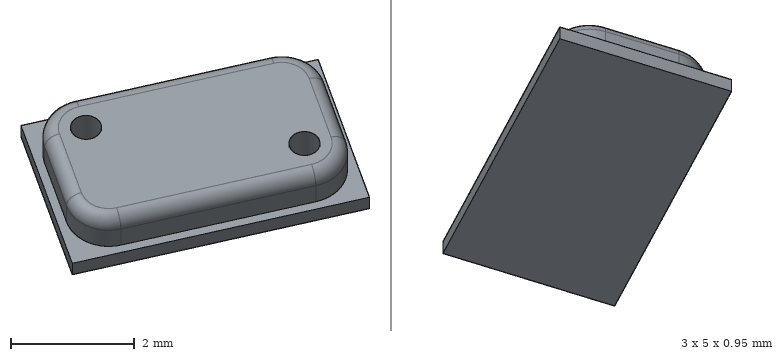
import cadquery as cq

board_width = 3.0
board_length = 5.0
board_thickness = 0.29

total_height = 0.95
lid_margin = 0.15
lid_corner_radius = 0.71
lid_edge_radius = 0.25
lid_width = board_width - 2 * lid_margin
lid_length = board_length - 2 * lid_margin
lid_height = total_height - board_thickness

hole_diameter = 0.5
hole_offset_x = 0.65
hole_offset_y = 1.65


def make_board():
    return cq.Workplane("XY").box(
        board_width, board_length, board_thickness, centered=(True, True, False)
    )


def make_lid():
    lid = cq.Workplane("XY").workplane(offset=board_thickness).rect(lid_width, lid_length).extrude(lid_height)
    lid = lid.edges("|Z").fillet(lid_corner_radius)
    lid = lid.faces(">Z").edges().fillet(lid_edge_radius)
    hole_centers = [(side * hole_offset_x, side * hole_offset_y) for side in (-1, 1)]
    holes = (
        cq.Workplane("XY")
        .workplane(offset=board_thickness)
        .pushPoints(hole_centers)
        .circle(hole_diameter / 2)
        .extrude(lid_height)
    )
    return lid.cut(holes)


result = make_board().union(make_lid())